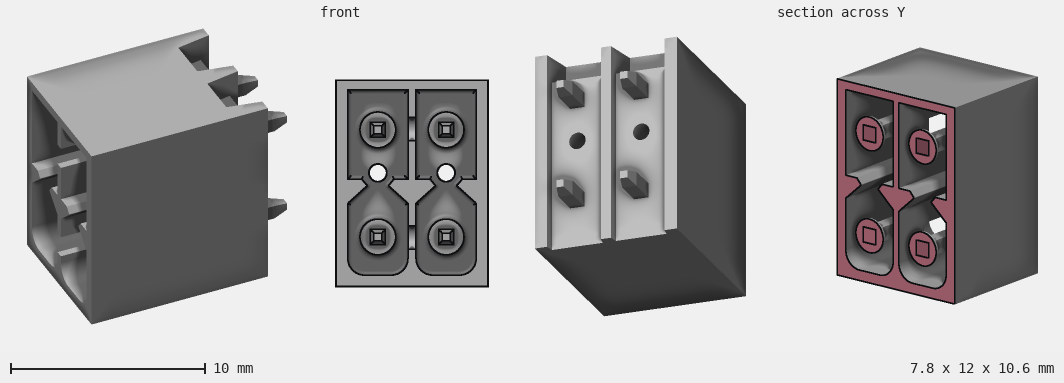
import cadquery as cq
import math

width = 7.8
height = 10.6
housing_length = 10.0
overall_length = 12.0

column_pitch = 3.5
row_pitch = 5.5
column_xs = [-column_pitch / 2, column_pitch / 2]
row_zs = [-row_pitch / 2, row_pitch / 2]

cavity_depth = 7.2
cavity_floor_fillet = 0.2
cavity_half_width = 1.55
top_wall = 0.49
bottom_wall = 0.59
cavity_top = height / 2 - top_wall
cavity_bottom = -height / 2 + bottom_wall
cavity_corner_radius = 0.88
ledge_z = 0.22
ledge_half_gap = 0.83
ridge_tip_z = -0.12
ridge_tip_half_gap = 0.54
ridge_tip_radius = 0.04
ridge_root_z = -1.03

window_pitch = 5.57
window_width = 1.2
window_depth = 4.8

boss_diameter = 1.84
boss_height = 0.6
boss_root_radius = 0.3

vent_diameter = 0.9
vent_z = 0.54

pocket_depth = 0.5
pocket_mouth_half_width = 1.48
notch_depth = 1.88
notch_floor_half_width = 1.15
notch_height = 1.35

pin_size = 0.78
pin_tip_size = 0.4
pin_taper_length = 0.8
pin_front = 3.0


def plane_at(y):
    """Workplane facing +Y, with local X along +X and local Y along -Z."""
    return cq.Workplane(cq.Plane(origin=(0, y, 0), xDir=(1, 0, 0), normal=(0, 1, 0)))


def box_between(x_size, y_start, y_end, z_size):
    """Box centred on X = 0 and Z = 0 that spans the given Y range."""
    return plane_at(y_start).rect(x_size, z_size).extrude(y_end - y_start)


def make_cavity(x):
    """Keyed cavity with rounded lower corners and ridge tips, and a filleted floor."""
    right_side = [
        (cavity_half_width, cavity_top),
        (cavity_half_width, ledge_z),
        (ledge_half_gap, ledge_z),
        (ridge_tip_half_gap, ridge_tip_z),
        (cavity_half_width, ridge_root_z),
        (cavity_half_width, cavity_bottom),
    ]
    left_side = [(-offset, z) for offset, z in reversed(right_side)]
    outline = [(offset, -z) for offset, z in right_side + left_side]
    cavity = plane_at(0).polyline(outline).close().extrude(cavity_depth)
    cavity = cavity.edges("|Y").edges("<Z").fillet(cavity_corner_radius)
    ridge_tips = cq.selectors.BoxSelector(
        (-ledge_half_gap, 0, ridge_root_z),
        (ledge_half_gap, cavity_depth, ledge_z - ridge_tip_radius),
    )
    cavity = cavity.edges("|Y").edges(ridge_tips).fillet(ridge_tip_radius)
    cavity = cavity.faces(">Y").edges().fillet(cavity_floor_fillet)
    return cavity.translate((x, 0, 0))


def make_boss(x, z):
    """Round boss on the cavity floor, flared by a concave fillet at its root."""
    radius = boss_diameter / 2
    root_mid = boss_root_radius * (1 - math.sqrt(0.5))
    profile = (
        cq.Workplane("XY")
        .moveTo(0, cavity_depth)
        .lineTo(radius + boss_root_radius, cavity_depth)
        .threePointArc(
            (radius + root_mid, cavity_depth - root_mid),
            (radius, cavity_depth - boss_root_radius),
        )
        .lineTo(radius, cavity_depth - boss_height)
        .lineTo(0, cavity_depth - boss_height)
        .close()
    )
    return profile.revolve(360, (0, 0, 0), (0, 1, 0)).translate((x, 0, z))


def make_window(z):
    """Round-bottomed slot in the wall between the cavities, open at the mating face."""
    radius = window_width / 2
    length = window_depth - radius
    slot = (
        cq.Workplane("YZ")
        .moveTo(0, z - radius)
        .lineTo(length, z - radius)
        .threePointArc((window_depth, z), (length, z + radius))
        .lineTo(0, z + radius)
        .close()
    )
    return slot.extrude(column_pitch / 2, both=True)


def make_rear_pocket(x, depth, z_bottom, z_top):
    """Rear pocket whose sides follow the common flare, cut to the given depth."""
    flare = (pocket_mouth_half_width - notch_floor_half_width) / notch_depth
    floor_half_width = pocket_mouth_half_width - flare * depth
    outline = [
        (x - pocket_mouth_half_width, housing_length),
        (x - floor_half_width, housing_length - depth),
        (x + floor_half_width, housing_length - depth),
        (x + pocket_mouth_half_width, housing_length),
    ]
    prism = cq.Workplane("XY").workplane(offset=z_bottom).polyline(outline).close()
    return prism.extrude(z_top - z_bottom)


def make_vent(x):
    """Round hole along Y through the whole housing."""
    return plane_at(0).center(x, -vent_z).circle(vent_diameter / 2).extrude(housing_length)


def make_pin(x, z):
    """Square pin running along Y, tapered at both ends."""
    shank_start = pin_front + pin_taper_length
    shank_end = overall_length - pin_taper_length
    shank = box_between(pin_size, shank_start, shank_end, pin_size)
    front_tip = (
        plane_at(pin_front)
        .rect(pin_tip_size, pin_tip_size)
        .workplane(offset=pin_taper_length)
        .rect(pin_size, pin_size)
        .loft(ruled=True)
    )
    rear_tip = front_tip.mirror("XZ", (0, (pin_front + overall_length) / 2, 0))
    return shank.union(front_tip).union(rear_tip).translate((x, 0, z))


def make_housing(pins):
    """Housing block with its cavities, bosses, openings and pin holes."""
    housing = box_between(width, 0, housing_length, height)
    for x in column_xs:
        housing = housing.cut(make_cavity(x))
        for z in row_zs:
            housing = housing.union(make_boss(x, z))
        housing = housing.cut(make_vent(x))
        housing = housing.cut(make_rear_pocket(x, pocket_depth, -height / 2, height / 2))
        housing = housing.cut(make_rear_pocket(x, notch_depth, height / 2 - notch_height, height / 2))
    for z in [-window_pitch / 2, window_pitch / 2]:
        housing = housing.cut(make_window(z))
    for pin in pins:
        housing = housing.cut(pin)
    return housing


pins = [make_pin(x, z) for x in column_xs for z in row_zs]
housing = make_housing(pins)
result = cq.Compound.makeCompound([housing.val(), *[pin.val() for pin in pins]])